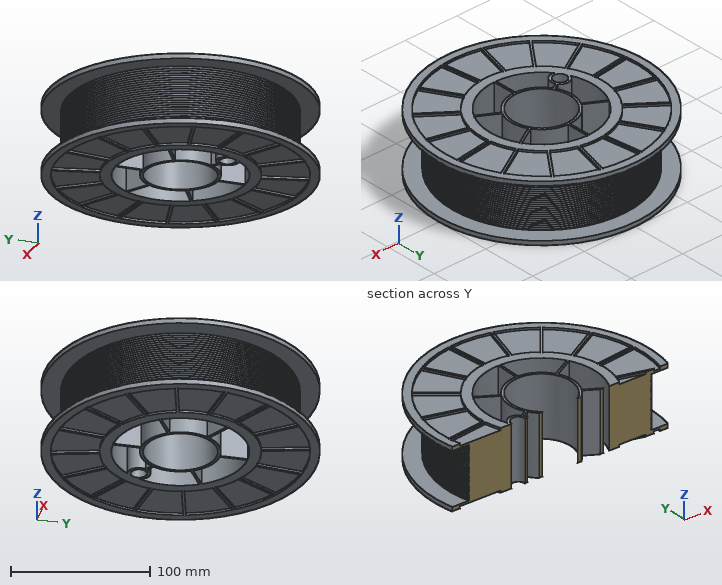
import cadquery as cq
import math

FLANGE_DIAMETER = 200.0
SPOOL_HEIGHT = 54.0
FLANGE_THICKNESS = 4.0

HUB_DIAMETER = 105.0
HUB_WALL = 3.0
SLEEVE_BORE = 53.8
SLEEVE_WALL = 2.2
SPOKE_COUNT = 6
SPOKE_THICKNESS = 1.8
SPOKE_START_ANGLE = 30.0

TUBE_BORE = 12.0
TUBE_WALL = 2.4
TUBE_ANGLE = 210.0

POCKET_INNER_DIAMETER = 116.0
POCKET_OUTER_DIAMETER = 186.0
POCKET_DEPTH = 1.75
RIB_COUNT = 16
RIB_THICKNESS = 2.0
RIB_START_ANGLE = 7.5

FILAMENT_DIAMETER = 1.75
WINDING_DIAMETER = 171.75

hub_bore = HUB_DIAMETER - 2 * HUB_WALL
sleeve_diameter = SLEEVE_BORE + 2 * SLEEVE_WALL
tube_diameter = TUBE_BORE + 2 * TUBE_WALL
tube_centre_radius = (hub_bore - TUBE_BORE) / 2
winding_gap = SPOOL_HEIGHT - 2 * FLANGE_THICKNESS
turn_count = math.ceil(winding_gap / FILAMENT_DIAMETER)


def ring(outer_diameter, inner_diameter, height, base_z=0.0):
    """Flat ring about the Z axis."""
    return (
        cq.Workplane("XY", origin=(0, 0, base_z))
        .circle(outer_diameter / 2)
        .circle(inner_diameter / 2)
        .extrude(height)
    )


def radial_bar(inner_radius, outer_radius, thickness, height, angle, base_z=0.0):
    """Upright bar along a radius at the given angle."""
    return (
        cq.Workplane("XY", origin=(0, 0, base_z))
        .center((inner_radius + outer_radius) / 2, 0)
        .rect(outer_radius - inner_radius, thickness)
        .extrude(height)
        .rotate((0, 0, 0), (0, 0, 1), angle)
    )


def make_body():
    """Hub wall with a flange at each end."""
    body = ring(HUB_DIAMETER, hub_bore, SPOOL_HEIGHT)
    for base_z in (0.0, SPOOL_HEIGHT - FLANGE_THICKNESS):
        body = body.union(ring(FLANGE_DIAMETER, hub_bore, FLANGE_THICKNESS, base_z))
    return body


def make_winding():
    """Solid filament coil on the hub, its lowest turn cut off by the lower flange."""
    hub_radius = HUB_DIAMETER / 2
    crest_radius = WINDING_DIAMETER / 2
    valley_radius = crest_radius - FILAMENT_DIAMETER / 2
    top_z = SPOOL_HEIGHT - FLANGE_THICKNESS
    bottom_z = top_z - turn_count * FILAMENT_DIAMETER

    section = cq.Workplane("XZ").moveTo(hub_radius, bottom_z).lineTo(valley_radius, bottom_z)
    for turn in range(turn_count):
        turn_z = bottom_z + turn * FILAMENT_DIAMETER
        section = section.threePointArc(
            (crest_radius, turn_z + FILAMENT_DIAMETER / 2),
            (valley_radius, turn_z + FILAMENT_DIAMETER),
        )
    section = section.lineTo(hub_radius, top_z).close()
    coil = section.revolve(360, (0, 0, 0), (0, 1, 0))
    return coil.intersect(ring(FLANGE_DIAMETER, hub_bore, winding_gap, FLANGE_THICKNESS))


def make_pockets(base_z):
    """Ring of shallow pockets, with the ribs between them left out."""
    pockets = ring(POCKET_OUTER_DIAMETER, POCKET_INNER_DIAMETER, POCKET_DEPTH, base_z)
    for index in range(RIB_COUNT):
        angle = RIB_START_ANGLE + index * 360 / RIB_COUNT
        rib = radial_bar(
            hub_bore / 2, FLANGE_DIAMETER / 2, RIB_THICKNESS, POCKET_DEPTH, angle, base_z
        )
        pockets = pockets.cut(rib)
    return pockets


def add_hub_core(body):
    """Join the inner sleeve to the hub wall with evenly spaced spokes."""
    body = body.union(ring(sleeve_diameter, SLEEVE_BORE, SPOOL_HEIGHT))
    spoke_inner = (SLEEVE_BORE + SLEEVE_WALL) / 2
    spoke_outer = (hub_bore + HUB_WALL) / 2
    for index in range(SPOKE_COUNT):
        angle = SPOKE_START_ANGLE + index * 360 / SPOKE_COUNT
        body = body.union(
            radial_bar(spoke_inner, spoke_outer, SPOKE_THICKNESS, SPOOL_HEIGHT, angle)
        )
    return body


def add_tube(body):
    """Add the small tube and open its bore through the full height."""
    tube_x = tube_centre_radius * math.cos(math.radians(TUBE_ANGLE))
    tube_y = tube_centre_radius * math.sin(math.radians(TUBE_ANGLE))
    base = cq.Workplane("XY").center(tube_x, tube_y)
    body = body.union(base.circle(tube_diameter / 2).extrude(SPOOL_HEIGHT))
    return body.cut(base.circle(TUBE_BORE / 2).extrude(SPOOL_HEIGHT))


result = make_body()
result = result.cut(make_pockets(SPOOL_HEIGHT - POCKET_DEPTH))
result = result.cut(make_pockets(0.0))
result = add_hub_core(result)
result = add_tube(result)
result = result.union(make_winding())